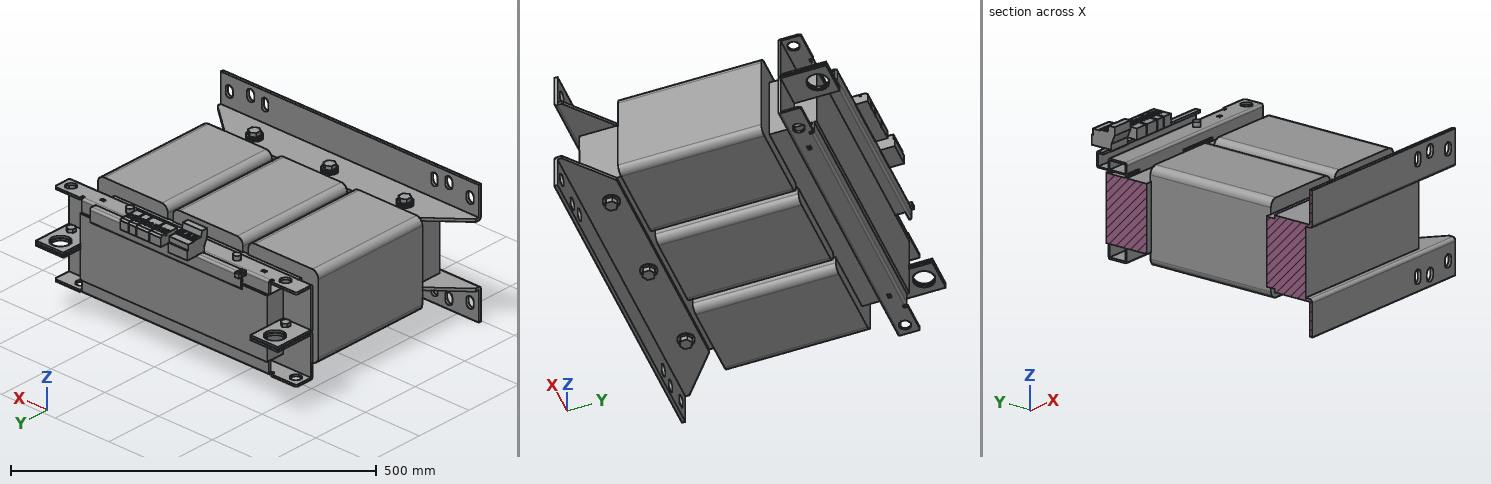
import cadquery as cq


CORE_SIDE = 348.0
CORE_HALF_Z = 51.5
CORE_FRONT_Y = 11.3
CORE_BACK_Y = CORE_FRONT_Y + CORE_SIDE
PHASE_PITCH = 140.0
LEG_WIDTH = CORE_SIDE - 2 * PHASE_PITCH
WINDOW_FRONT_Y = 80.0
WINDOW_BACK_Y = 288.5
COIL_WIDTH = 130.0
COIL_HEIGHT = 145.6
COIL_FRONT_Y = 80.0
COIL_LENGTH = 210.0
COIL_RADIUS = 11.5

FOOT_LENGTH = 480.0
FOOT_HALF_Z = 107.0
FOOT_SHEET = 5.0
FOOT_DEPTH = 66.0
FOOT_TAPER_START_Y = 11.0
FOOT_SLOTS = [
    (224.0, 81.5, 13.5, 19.5),
    (184.3, 90.0, 13.5, 20.0),
    (157.5, 85.5, 12.0, 21.0),
]
CORE_BOLT_Y = 45.0
CORE_BOLT_HEX = 18.5
CORE_BOLT_HEAD = 6.5
CORE_NUT_HEIGHT = 8.5
WASHER_DIAMETER = 24.0
WASHER_THICKNESS = 1.5
SPRING_WASHER_DIAMETER = 21.0
SPRING_WASHER_THICKNESS = 2.5

CLAMP_LENGTH = 450.0
CLAMP_SHEET = 3.5
CLAMP_HALF_Z = 73.5
CLAMP_GAP = 1.0
CLAMP_FRONT_Y = 323.0
CLAMP_BACK_Y = 355.7
CLAMP_BEND = 3.5
RELIEF_WIDTH = 4.0
RELIEF_DEPTH = 6.0
LUG_BACK_Y = 393.0
LUG_HOLE_X = 199.5
LUG_HOLE_Y = 371.0
LUG_HOLE_DIAMETER = 31.0
CLAMP_HOLE_Y = 339.3
LUG_BOLT_XS = [-190.0, 209.0]
ACCESS_HOLE_DIAMETER = 17.0
LUG_BOLT_HEX = 14.5
LUG_BOLT_HEAD = 5.5
SMALL_HOLE_X = 150.0
SMALL_HOLE_SIZE = (6.5, 4.5)
CAP_SCREW_X = 99.5
CAP_SCREW_SHANK = 8.0
CAP_SCREW_HEAD = 11.5
CAP_SCREW_HEAD_HEIGHT = 7.5
CAP_SCREW_NUT = 9.5

BRACKET_HALF_X = 125.0
BRACKET_BOTTOM_Z = 55.0
BRACKET_SHEET = 2.5
TAB_INNER_X = 49.5
TAB_OUTER_X = 111.5
TAB_FRONT_Y = 320.8
RAIL_HALF_X = 140.0
RAIL_BACK_Y = 376.0
RAIL_FRONT_Y = 365.0
RAIL_SHEET = 3.5
RAIL_TOP_Z = 79.5

STOP_X = (-140.0, -132.0)
STOP_Y = (365.0, 379.5)
STOP_Z = (73.5, 80.2)
STOP_BAR_X = (-141.7, -131.0)
STOP_BAR_Y = (369.5, 375.0)
STOP_BAR_Z = (75.0, 79.5)
STOP_SCREW_DIAMETER = 5.0
STOP_SCREW_HEAD = 0.6

LARGE_TERMINAL_X = (-59.8, -24.3)
LARGE_TERMINAL_SHELF_Z = 104.5
LARGE_TERMINAL_OUTLINE = [
    (396.45, 79.0),
    (396.45, 94.0),
    (394.5, 94.0),
    (394.5, 103.0),
    (382.5, 103.0),
    (382.5, LARGE_TERMINAL_SHELF_Z),
    (369.0, LARGE_TERMINAL_SHELF_Z),
    (366.8, 113.55),
    (356.5, 113.55),
    (356.5, 101.0),
    (362.0, 88.0),
    (362.0, 77.0),
    (365.0, 77.0),
    (366.5, 79.0),
]
LARGE_TERMINAL_POLES = 3
LARGE_POLE_PITCH = 10.9
LARGE_SOCKET_WIDTH = 5.5
LARGE_SOCKET_Y = (371.5, 376.5)
LARGE_SLIT_WIDTH = 7.2
LARGE_SLIT_Y = (378.5, 379.8)
SMALL_TERMINAL_EDGES = [-7.0, 15.2, 38.9, 53.3, 68.3]
SMALL_TERMINAL_SLOTS = [3, 3, 2, 2]
SMALL_TERMINAL_Y = (359.5, 392.8)
SMALL_TERMINAL_Z = (79.0, 96.0)
SMALL_TERMINAL_CHAMFER = 3.0
SMALL_JOINT_WIDTH = 0.8
SMALL_JOINT_DEPTH = 1.0
SMALL_CHANNEL_Y = (380.8, 383.0)
SMALL_SLOT_WIDTH = 3.6
SMALL_SLOT_Y = (372.5, 378.0)
POCKET_DEPTH = 3.0


def box(x_range, y_range, z_range):
    """Axis-aligned box from its limits on each axis."""
    size = [limits[1] - limits[0] for limits in (x_range, y_range, z_range)]
    corner = (x_range[0], y_range[0], z_range[0])
    return cq.Workplane("XY").box(*size, centered=False).translate(corner)


def centred(middle, width):
    """Limits of a span of the given width about its middle."""
    return (middle - width / 2, middle + width / 2)


def upright(diameter, x, y, bottom_z, height):
    """Cylinder standing along Z."""
    return cq.Workplane("XY", origin=(x, y, bottom_z)).circle(diameter / 2).extrude(height)


def hexagon(across_corners, x, y, bottom_z, height):
    """Hexagonal prism along Z with corners on the Y axis."""
    prism = cq.Workplane("XY").polygon(6, across_corners).extrude(height)
    return prism.rotate((0, 0, 0), (0, 0, 1), 90).translate((x, y, bottom_z))


def side_profile(points, x_range):
    """Prism along X from a closed outline of (Y, Z) points."""
    outline = cq.Workplane("YZ", origin=(x_range[0], 0, 0)).polyline(points).close()
    return outline.extrude(x_range[1] - x_range[0])


def make_core():
    half = CORE_SIDE / 2
    core = box((-half, half), (CORE_FRONT_Y, CORE_BACK_Y), (-CORE_HALF_Z, CORE_HALF_Z))
    for side in (-1, 1):
        edges = sorted([side * LEG_WIDTH / 2, side * (PHASE_PITCH - LEG_WIDTH / 2)])
        window = box(edges, (WINDOW_FRONT_Y, WINDOW_BACK_Y), (-CORE_HALF_Z, CORE_HALF_Z))
        core = core.cut(window)
    return core


def make_coil(x):
    coil = cq.Workplane("XY").box(COIL_WIDTH, COIL_LENGTH, COIL_HEIGHT).edges("|Y").fillet(COIL_RADIUS)
    return coil.translate((x, COIL_FRONT_Y + COIL_LENGTH / 2, 0))


def make_upper_foot():
    """Angle foot: a slotted vertical flange and a tapered flange lying on the core."""
    half = FOOT_LENGTH / 2
    tip = CORE_SIDE / 2
    flange = (
        cq.Workplane("XY", origin=(0, 0, CORE_HALF_Z))
        .polyline([
            (-half, 0), (half, 0), (half, FOOT_TAPER_START_Y),
            (tip, FOOT_DEPTH), (-tip, FOOT_DEPTH), (-half, FOOT_TAPER_START_Y),
        ])
        .close()
        .extrude(FOOT_SHEET)
    )
    wall = box((-half, half), (0, FOOT_SHEET), (CORE_HALF_Z, FOOT_HALF_Z))
    foot = flange.union(wall)
    foot = foot.edges(cq.selectors.NearestToPointSelector((0, 0, CORE_HALF_Z))).fillet(FOOT_SHEET)
    for x, z, width, height in FOOT_SLOTS:
        for side in (-1, 1):
            slot = (
                cq.Workplane("XZ", origin=(side * x, FOOT_SHEET, z))
                .slot2D(height, width, 90)
                .extrude(FOOT_SHEET)
            )
            foot = foot.cut(slot)
    return foot


def make_core_bolt(x):
    """Bolt head on three washers above the core, washer and nut below it."""
    stack = [
        (WASHER_DIAMETER, WASHER_THICKNESS),
        (SPRING_WASHER_DIAMETER, SPRING_WASHER_THICKNESS),
        (WASHER_DIAMETER, WASHER_THICKNESS),
    ]
    seat = CORE_HALF_Z + FOOT_SHEET
    lower_face = -seat - WASHER_THICKNESS
    bolt = upright(WASHER_DIAMETER, x, CORE_BOLT_Y, lower_face, WASHER_THICKNESS)
    bolt = bolt.add(hexagon(CORE_BOLT_HEX, x, CORE_BOLT_Y, lower_face - CORE_NUT_HEIGHT, CORE_NUT_HEIGHT))
    for diameter, thickness in stack:
        bolt = bolt.add(upright(diameter, x, CORE_BOLT_Y, seat, thickness))
        seat += thickness
    return bolt.add(hexagon(CORE_BOLT_HEX, x, CORE_BOLT_Y, seat, CORE_BOLT_HEAD))


def make_upper_channel():
    """Bent channel: web, top flange with a lip onto the core, and two lifting lugs."""
    half = CLAMP_LENGTH / 2
    lip_half = CORE_SIDE / 2
    wing_inner = lip_half + RELIEF_WIDTH
    base_z = CLAMP_GAP / 2
    flange_z = (CLAMP_HALF_Z - CLAMP_SHEET, CLAMP_HALF_Z)

    body = box((-half, half), (CLAMP_FRONT_Y, CLAMP_BACK_Y), (base_z, CLAMP_HALF_Z))
    body = body.edges("|X and <Y").fillet(CLAMP_BEND)
    hollow = box(
        (-half, half),
        (CLAMP_FRONT_Y + CLAMP_SHEET, CLAMP_BACK_Y),
        (base_z + CLAMP_SHEET, flange_z[0]),
    )
    channel = body.cut(hollow)

    lip = box(
        (-lip_half, lip_half),
        (CLAMP_BACK_Y - CLAMP_SHEET, CLAMP_BACK_Y),
        (CORE_HALF_Z, CLAMP_HALF_Z),
    )
    channel = channel.union(lip)
    bend_edge = cq.selectors.NearestToPointSelector((0, CLAMP_BACK_Y, CLAMP_HALF_Z))
    relief_front = CLAMP_BACK_Y - RELIEF_DEPTH
    for side in (-1, 1):
        relief = box(
            sorted([side * lip_half, side * wing_inner]), (relief_front, CLAMP_BACK_Y), flange_z
        )
        channel = channel.cut(relief)
    channel = channel.edges(bend_edge).fillet(CLAMP_BEND)
    for side in (-1, 1):
        wing_corner = cq.selectors.NearestToPointSelector(
            (side * half, CLAMP_BACK_Y, CLAMP_HALF_Z - CLAMP_SHEET / 2)
        )
        channel = channel.edges(wing_corner).fillet(CLAMP_BEND)
        lug = box(
            sorted([side * lip_half, side * half]),
            (CLAMP_BACK_Y, LUG_BACK_Y),
            (base_z, base_z + CLAMP_SHEET),
        )
        channel = channel.union(lug)
        channel = channel.cut(
            upright(LUG_HOLE_DIAMETER, side * LUG_HOLE_X, LUG_HOLE_Y, base_z, CLAMP_SHEET)
        )
        small_hole = cq.Workplane("XY").box(*SMALL_HOLE_SIZE, 2 * CLAMP_SHEET)
        channel = channel.cut(small_hole.translate((side * SMALL_HOLE_X, CLAMP_HOLE_Y, CLAMP_HALF_Z)))
    for x in LUG_BOLT_XS:
        channel = channel.cut(
            upright(ACCESS_HOLE_DIAMETER, x, CLAMP_HOLE_Y, flange_z[0], CLAMP_SHEET)
        )
    return channel


def make_lug_bolt(x):
    """Hexagon head on the lug; its base bridges the gap between the channels."""
    return hexagon(LUG_BOLT_HEX, x, CLAMP_HOLE_Y, -CLAMP_GAP / 2, CLAMP_GAP + CLAMP_SHEET + LUG_BOLT_HEAD)


def make_cap_screw(x):
    shank = upright(CAP_SCREW_SHANK, x, CLAMP_HOLE_Y, CORE_HALF_Z, CLAMP_HALF_Z - CORE_HALF_Z)
    head = upright(CAP_SCREW_HEAD, x, CLAMP_HOLE_Y, CLAMP_HALF_Z, CAP_SCREW_HEAD_HEIGHT)
    nut = upright(CAP_SCREW_NUT, x, CLAMP_HOLE_Y, CORE_HALF_Z, BRACKET_BOTTOM_Z - CORE_HALF_Z)
    return shank.union(head).union(nut)


def make_rail():
    """Bracket plate with two tabs through the web, and the bent rail it carries."""
    plate_z = (BRACKET_BOTTOM_Z, BRACKET_BOTTOM_Z + BRACKET_SHEET)
    web_back = CLAMP_FRONT_Y + CLAMP_SHEET
    plate = box((-BRACKET_HALF_X, BRACKET_HALF_X), (web_back, RAIL_BACK_Y - RAIL_SHEET), plate_z)
    for side in (-1, 1):
        tab_x = sorted([side * TAB_INNER_X, side * TAB_OUTER_X])
        plate = plate.union(box(tab_x, (TAB_FRONT_Y, web_back), plate_z))
    rail_x = (-RAIL_HALF_X, RAIL_HALF_X)
    rail = box(rail_x, (RAIL_FRONT_Y, RAIL_BACK_Y), (BRACKET_BOTTOM_Z, RAIL_TOP_Z))
    rail = rail.edges("|X and >Y").fillet(RAIL_SHEET)
    inside = box(
        rail_x,
        (RAIL_FRONT_Y, RAIL_BACK_Y - RAIL_SHEET),
        (BRACKET_BOTTOM_Z, RAIL_TOP_Z - RAIL_SHEET),
    )
    return rail.cut(inside).union(plate)


def make_end_stop():
    """Block clamped over the rail by a cross bar and a screw."""
    stop = box(STOP_X, STOP_Y, STOP_Z).union(box(STOP_BAR_X, STOP_BAR_Y, STOP_BAR_Z))
    screw_x = sum(STOP_X) / 2
    screw_y = sum(STOP_Y) / 2
    return stop.union(upright(STOP_SCREW_DIAMETER, screw_x, screw_y, STOP_Z[1], STOP_SCREW_HEAD))


def make_large_terminal():
    """Stepped terminal block with a raised front ridge and a socket and slit per pole."""
    block = side_profile(LARGE_TERMINAL_OUTLINE, LARGE_TERMINAL_X)
    pocket_z = (LARGE_TERMINAL_SHELF_Z - POCKET_DEPTH, LARGE_TERMINAL_SHELF_Z)
    middle_x = sum(LARGE_TERMINAL_X) / 2
    for index in range(LARGE_TERMINAL_POLES):
        x = middle_x + (index - (LARGE_TERMINAL_POLES - 1) / 2) * LARGE_POLE_PITCH
        block = block.cut(box(centred(x, LARGE_SOCKET_WIDTH), LARGE_SOCKET_Y, pocket_z))
        block = block.cut(box(centred(x, LARGE_SLIT_WIDTH), LARGE_SLIT_Y, pocket_z))
    return block


def make_small_terminals():
    """Row of four small terminal blocks parted by grooves, with wire slots on top."""
    row_x = (SMALL_TERMINAL_EDGES[0], SMALL_TERMINAL_EDGES[-1])
    top_z = SMALL_TERMINAL_Z[1]
    pocket_z = (top_z - POCKET_DEPTH, top_z)
    row = box(row_x, SMALL_TERMINAL_Y, SMALL_TERMINAL_Z)
    row = row.edges("|X and >Y and >Z").chamfer(SMALL_TERMINAL_CHAMFER)
    row = row.cut(box(row_x, SMALL_CHANNEL_Y, pocket_z))
    for x in SMALL_TERMINAL_EDGES[1:-1]:
        joint_x = centred(x, SMALL_JOINT_WIDTH)
        front_y, back_y = SMALL_TERMINAL_Y
        row = row.cut(box(joint_x, SMALL_TERMINAL_Y, (top_z - SMALL_JOINT_DEPTH, top_z)))
        row = row.cut(box(joint_x, (front_y, front_y + SMALL_JOINT_DEPTH), SMALL_TERMINAL_Z))
        row = row.cut(box(joint_x, (back_y - SMALL_JOINT_DEPTH, back_y), SMALL_TERMINAL_Z))
    for index, count in enumerate(SMALL_TERMINAL_SLOTS):
        start_x = SMALL_TERMINAL_EDGES[index]
        pitch = (SMALL_TERMINAL_EDGES[index + 1] - start_x) / count
        for slot in range(count):
            slot_x = centred(start_x + (slot + 0.5) * pitch, SMALL_SLOT_WIDTH)
            row = row.cut(box(slot_x, SMALL_SLOT_Y, pocket_z))
    return row


parts = [make_core()]
parts += [make_coil(index * PHASE_PITCH) for index in (-1, 0, 1)]
upper_foot = make_upper_foot()
upper_channel = make_upper_channel()
lower_channel = upper_channel.rotate((0, 0, 0), (0, 1, 0), 180)
parts += [upper_foot, upper_foot.mirror("XY"), upper_channel, lower_channel]
parts += [make_core_bolt(index * PHASE_PITCH) for index in (-1, 0, 1)]
parts += [make_lug_bolt(x) for x in LUG_BOLT_XS]
parts += [make_cap_screw(side * CAP_SCREW_X) for side in (-1, 1)]
parts += [make_rail(), make_end_stop(), make_large_terminal(), make_small_terminals()]

solids = [solid for part in parts for solid in part.vals()]
result = cq.Workplane("XY").newObject([solids[0].fuse(*solids[1:])])